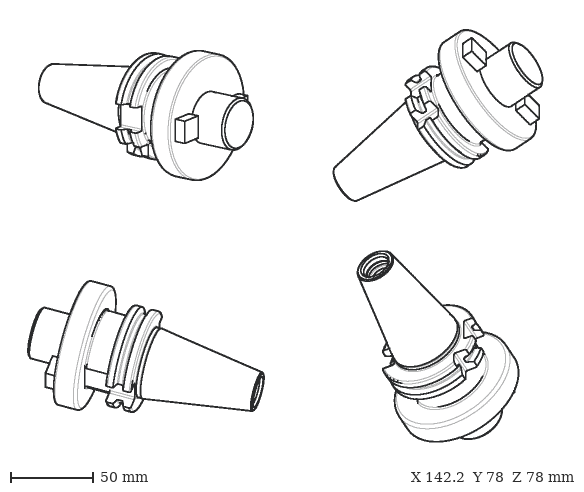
import cadquery as cq
import math


total_length = 142.2
taper_end = 67.7
relief_end = 68.5
flange_start = 71.3
flange_end = 87.3
collar_start = 103.3
collar_end = 118.0

taper_small_radius = 12.2
taper_large_radius = 22.2
land_radius = 22.0
flange_radius = 31.7
neck_radius = 24.2
collar_radius = 39.0
spigot_radius = 16.1

nose_chamfer = 0.7
flange_fillet = 1.1
collar_front_fillet = 2.0
collar_back_fillet = 1.0
spigot_chamfer = 1.4
land_fillet = 0.7
neck_fillet = 1.0

groove_rim_width = 6.5
groove_floor_width = 3.3
groove_floor_radius = 28.0
groove_fillet = 0.7
groove_center = (flange_start + flange_end) / 2

slot_width = 16.0
front_slot_floor = 24.8
back_slot_floor = 22.5
notch_offset = 18.0
cutter_fillet = 1.1
cutter_overrun = 2.8

mouth_radius = 9.5
counterbore_radius = 8.5
counterbore_start = 1.8
counterbore_end = 5.3
pilot_bore_radius = 8.0
pilot_bore_end = 7.5
lead_in_radius = 7.5
lead_in_start = 8.3
thread_radius = 6.8
thread_start = 10.0
thread_end = 31.3
drill_point_angle = 118.0

tenon_width = 14.1
tenon_length = 7.1
tenon_inner = 18.6
tenon_outer = 32.5


def revolve_about_x(profile):
    return profile.close().revolve(360, (0, 0, 0), (1, 0, 0))


def turned_body():
    profile = (
        cq.Workplane("XY")
        .lineTo(0, taper_small_radius - nose_chamfer)
        .lineTo(nose_chamfer, taper_small_radius)
        .lineTo(taper_end, taper_large_radius)
        .lineTo(relief_end, land_radius)
        .lineTo(flange_start - land_fillet, land_radius)
        .radiusArc((flange_start, land_radius + land_fillet), -land_fillet)
        .lineTo(flange_start, flange_radius - flange_fillet)
        .radiusArc((flange_start + flange_fillet, flange_radius), flange_fillet)
        .lineTo(flange_end - flange_fillet, flange_radius)
        .radiusArc((flange_end, flange_radius - flange_fillet), flange_fillet)
        .lineTo(flange_end, neck_radius + neck_fillet)
        .radiusArc((flange_end + neck_fillet, neck_radius), -neck_fillet)
        .lineTo(collar_start - neck_fillet, neck_radius)
        .radiusArc((collar_start, neck_radius + neck_fillet), -neck_fillet)
        .lineTo(collar_start, collar_radius - collar_front_fillet)
        .radiusArc((collar_start + collar_front_fillet, collar_radius), collar_front_fillet)
        .lineTo(collar_end - collar_back_fillet, collar_radius)
        .radiusArc((collar_end, collar_radius - collar_back_fillet), collar_back_fillet)
        .lineTo(collar_end, spigot_radius)
        .lineTo(total_length - spigot_chamfer, spigot_radius)
        .lineTo(total_length, spigot_radius - spigot_chamfer)
        .lineTo(total_length, 0)
    )
    return revolve_about_x(profile)


def flange_groove():
    profile = (
        cq.Workplane("XY")
        .moveTo(groove_center - groove_rim_width / 2, flange_radius)
        .lineTo(groove_center - groove_floor_width / 2, groove_floor_radius)
        .lineTo(groove_center + groove_floor_width / 2, groove_floor_radius)
        .lineTo(groove_center + groove_rim_width / 2, flange_radius)
    )
    ring = revolve_about_x(profile)
    floor_edges = cq.selectors.RadiusNthSelector(0)
    return ring.edges(floor_edges).fillet(groove_fillet)


def drawbar_hole():
    point_length = thread_radius / math.tan(math.radians(drill_point_angle / 2))
    profile = (
        cq.Workplane("XY")
        .lineTo(0, mouth_radius)
        .lineTo(counterbore_start, counterbore_radius)
        .lineTo(counterbore_end, counterbore_radius)
        .lineTo(counterbore_end, pilot_bore_radius)
        .lineTo(pilot_bore_end, pilot_bore_radius)
        .lineTo(lead_in_start, lead_in_radius)
        .lineTo(thread_start, thread_radius)
        .lineTo(thread_end, thread_radius)
        .lineTo(thread_end + point_length, 0)
    )
    return revolve_about_x(profile)


def cutter_box(x_range, y_range, z_range):
    """Box between the given limits, its lengthwise edges rounded like a milling cutter."""
    lows, highs = zip(x_range, y_range, z_range)
    sizes = [high - low for low, high in zip(lows, highs)]
    box = cq.Workplane("XY").box(*sizes, centered=False).translate(lows)
    return box.edges("|X").fillet(cutter_fillet)


def flange_cuts():
    outside = flange_radius + cutter_overrun
    half_slot = slot_width / 2
    flange_span = (flange_start, flange_end)
    front_slot = cutter_box(flange_span, (-outside, -front_slot_floor), (-half_slot, half_slot))
    back_slot = cutter_box(flange_span, (back_slot_floor, outside), (-half_slot, half_slot))
    notch = cutter_box(flange_span, (-outside, -notch_offset), (-outside, -notch_offset))
    return front_slot.union(back_slot).union(notch)


def neck_flat():
    """Flat on the +Y side of the neck, level with the floor of the back slot."""
    width = 2 * flange_radius
    neck_length = collar_start - flange_end
    return (
        cq.Workplane("XY", origin=(flange_end, back_slot_floor, 0))
        .box(neck_length, flange_radius, width, centered=(False, False, True))
    )


def tenons():
    depth = tenon_outer - tenon_inner
    middle = (tenon_outer + tenon_inner) / 2
    return (
        cq.Workplane("YZ", origin=(collar_end, 0, 0))
        .pushPoints([(-middle, 0), (middle, 0)])
        .rect(depth, tenon_width)
        .extrude(tenon_length)
    )


result = (
    turned_body()
    .cut(flange_groove())
    .cut(drawbar_hole())
    .cut(flange_cuts())
    .cut(neck_flat())
    .union(tenons())
)